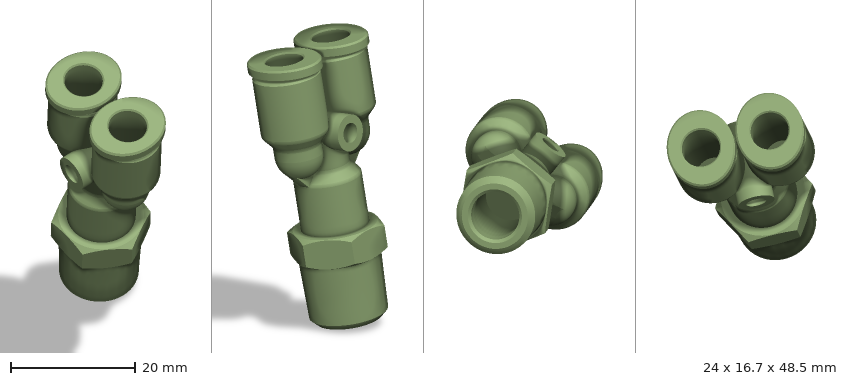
import cadquery as cq
import math

TIP_CHAMFER_TOP = 1.0
HEX_BOTTOM = 10.9
HEX_TOP = 16.0
BODY_SHOULDER = 24.7
STEM_BOTTOM = 26.45
ARM_BALL_CENTRE = 30.25
NECK_TOP = 32.25
ARM_BOTTOM = 34.15
BOSS_HEIGHT = 32.65
ARM_TOP = 44.35
CAP_BOTTOM = 45.05
CAP_TOP = 46.65

TAPER = 1 / 16
THREAD_TOP_RADIUS = 6.75
TIP_RADIUS = 5.4
HEX_SIDES = 6
HEX_FLATS = 14.05
HEX_FACE_INSET = 0.1
HEX_CHAMFER_ANGLE = 30
INLET_RADIUS = 3.95
INLET_DEPTH = HEX_TOP
INLET_CHAMFER = 0.5

TUBE_RADIUS = 5.6
NECK_RADIUS = 4.0
ARM_OFFSET = 5.75
BODY_FILLET = 0.8
ARM_FILLET = 0.95
ARM_TOP_CHAMFER = 0.3
COLLAR_RADIUS = 3.75
CAP_HALF_WIDTH = 5.55
CAP_HALF_DEPTH = 6.5
CAP_CHAMFER = 0.3
TUBE_HOLE_RADIUS = 3.1
TUBE_HOLE_DEPTH = 15.55
TUBE_HOLE_CHAMFER = 0.25

BOSS_RADIUS = 3.0
BOSS_HOLE_RADIUS = 1.65
BOSS_LENGTH = 13.2
WEB_THICKNESS = 2.0
WEB_INSET = 0.15
WEB_SLOPE = 45
WEB_DROP = 0.15

TURN_ABOUT_Z = -1.4
TILT_ABOUT_X = 4.6
TILT_ABOUT_Y = 7.6


def revolved(points):
    """Solid of revolution about the Z axis from (radius, height) points."""
    return cq.Workplane("XZ").polyline(points).close().revolve(360, (0, 0, 0), (0, 1, 0))


def fillet_ring(shape, height, radius):
    """Round the circular edge that lies at the given height."""
    return shape.edges(cq.NearestToPointSelector((0, 0, height))).fillet(radius)


def threaded_end():
    drop = (HEX_BOTTOM - TIP_CHAMFER_TOP) * TAPER / 2
    return revolved([
        (0, 0),
        (TIP_RADIUS, 0),
        (THREAD_TOP_RADIUS - drop, TIP_CHAMFER_TOP),
        (THREAD_TOP_RADIUS, HEX_BOTTOM),
        (0, HEX_BOTTOM),
    ])


def hexagon():
    flat_radius = HEX_FLATS / 2
    corner_radius = flat_radius / math.cos(math.pi / HEX_SIDES)
    face_radius = flat_radius - HEX_FACE_INSET
    height = HEX_TOP - HEX_BOTTOM
    prism = (
        cq.Workplane("XY", origin=(0, 0, HEX_BOTTOM))
        .polygon(HEX_SIDES, 2 * corner_radius)
        .extrude(height)
    )
    drop = (corner_radius - face_radius) * math.tan(math.radians(HEX_CHAMFER_ANGLE))
    envelope = revolved([
        (0, HEX_BOTTOM),
        (face_radius, HEX_BOTTOM),
        (corner_radius, HEX_BOTTOM + drop),
        (corner_radius, HEX_TOP - drop),
        (face_radius, HEX_TOP),
        (0, HEX_TOP),
    ])
    return prism.intersect(envelope)


def body():
    shape = revolved([
        (0, HEX_BOTTOM),
        (TUBE_RADIUS, HEX_BOTTOM),
        (TUBE_RADIUS, BODY_SHOULDER),
        (NECK_RADIUS, STEM_BOTTOM),
        (NECK_RADIUS, BOSS_HEIGHT),
        (0, BOSS_HEIGHT),
    ])
    shape = fillet_ring(shape, BODY_SHOULDER, BODY_FILLET)
    return fillet_ring(shape, STEM_BOTTOM, BODY_FILLET)


def arm():
    """One arm on the fitting's axis, without its hole."""
    barrel = revolved([
        (0, ARM_BALL_CENTRE),
        (NECK_RADIUS, ARM_BALL_CENTRE),
        (NECK_RADIUS, NECK_TOP),
        (TUBE_RADIUS, ARM_BOTTOM),
        (TUBE_RADIUS, ARM_TOP),
        (0, ARM_TOP),
    ])
    barrel = fillet_ring(barrel, NECK_TOP, ARM_FILLET)
    barrel = fillet_ring(barrel, ARM_BOTTOM, ARM_FILLET)
    barrel = barrel.faces(">Z").chamfer(ARM_TOP_CHAMFER)
    ball = cq.Workplane("XY", origin=(0, 0, ARM_BALL_CENTRE)).sphere(NECK_RADIUS)
    collar = cq.Workplane("XY", origin=(0, 0, ARM_TOP)).circle(COLLAR_RADIUS).extrude(CAP_BOTTOM - ARM_TOP)
    cap = (
        cq.Workplane("XY", origin=(0, 0, CAP_BOTTOM))
        .ellipse(CAP_HALF_WIDTH, CAP_HALF_DEPTH)
        .extrude(CAP_TOP - CAP_BOTTOM)
        .faces(">Z")
        .chamfer(CAP_CHAMFER)
    )
    return barrel.union(ball).union(collar).union(cap)


def chamfered_hole(radius, depth, chamfer):
    """Blind hole going up from the origin, with a 45-degree chamfer at its mouth."""
    return revolved([
        (0, 0),
        (radius + chamfer, 0),
        (radius, chamfer),
        (radius, depth),
        (0, depth),
    ])


def web(side):
    """Flat web from the body's shoulder to the ball of the arm on the given side."""
    bottom = BODY_SHOULDER - WEB_DROP
    slope = math.radians(WEB_SLOPE)
    edge_distance = NECK_RADIUS - WEB_INSET
    outline = [
        (0, bottom),
        (TUBE_RADIUS, bottom),
        (ARM_OFFSET + edge_distance * math.sin(slope), ARM_BALL_CENTRE - edge_distance * math.cos(slope)),
        (ARM_OFFSET, ARM_BALL_CENTRE),
        (0, ARM_BALL_CENTRE),
    ]
    points = [(side * x, z) for x, z in outline]
    return cq.Workplane("XZ").polyline(points).close().extrude(WEB_THICKNESS / 2, both=True)


def cross_cylinder(radius):
    return cq.Workplane("XZ", origin=(0, 0, BOSS_HEIGHT)).circle(radius).extrude(BOSS_LENGTH / 2, both=True)


fitting = threaded_end().union(hexagon()).union(body()).union(cross_cylinder(BOSS_RADIUS))
tube_hole = (
    chamfered_hole(TUBE_HOLE_RADIUS, TUBE_HOLE_DEPTH, TUBE_HOLE_CHAMFER)
    .rotate((0, 0, 0), (1, 0, 0), 180)
    .translate((0, 0, CAP_TOP))
)
for side in (-1, 1):
    shift = (side * ARM_OFFSET, 0, 0)
    fitting = fitting.union(arm().translate(shift)).union(web(side))
    fitting = fitting.cut(tube_hole.translate(shift))
fitting = fitting.cut(cross_cylinder(BOSS_HOLE_RADIUS))
fitting = fitting.cut(chamfered_hole(INLET_RADIUS, INLET_DEPTH, INLET_CHAMFER))

result = (
    fitting
    .rotate((0, 0, 0), (0, 0, 1), TURN_ABOUT_Z)
    .rotate((0, 0, 0), (1, 0, 0), TILT_ABOUT_X)
    .rotate((0, 0, 0), (0, 1, 0), TILT_ABOUT_Y)
)